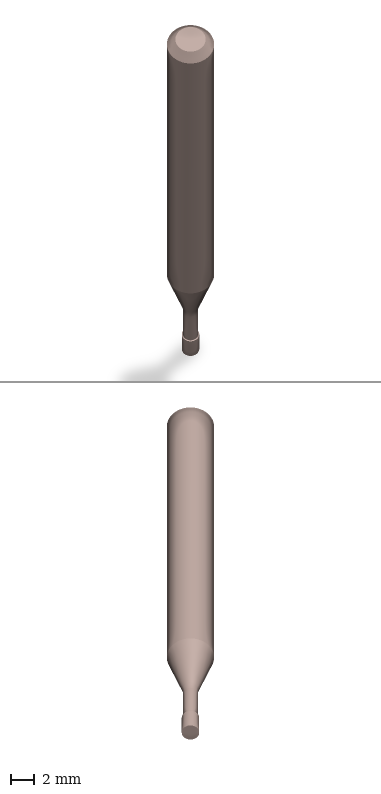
import cadquery as cq
import math

total_length = 45.0
shank_diameter = 4.0
shank_radius = shank_diameter / 2
end_chamfer = 0.7
taper_top_z = 10.85

neck_radius = 0.65
blend_bottom_z = 5.6
blend_radius = 2.7
taper_angle = math.radians(15.5)

tip_diameter = 1.5
tip_radius = tip_diameter / 2
collar_height = 0.22
head_length = 1.9
collar_top_z = head_length + collar_height


def blend_point(angle):
    """Point (radius, z) on the blend arc after turning by angle from the neck."""
    radius = neck_radius + blend_radius * (1 - math.cos(angle))
    z = blend_bottom_z + blend_radius * math.sin(angle)
    return (radius, z)


def make_shank():
    """Chamfered shank, taper, neck and collar revolved about Z."""
    return (
        cq.Workplane("XZ")
        .moveTo(0, head_length)
        .lineTo(tip_radius, head_length)
        .lineTo(tip_radius, collar_top_z)
        .lineTo(neck_radius, collar_top_z)
        .lineTo(neck_radius, blend_bottom_z)
        .threePointArc(blend_point(taper_angle / 2), blend_point(taper_angle))
        .lineTo(shank_radius, taper_top_z)
        .lineTo(shank_radius, total_length - end_chamfer)
        .lineTo(shank_radius - end_chamfer, total_length)
        .lineTo(0, total_length)
        .close()
        .revolve(360, (0, 0), (0, 1))
    )


def make_cutting_head():
    """Plain cylinder butted against the underside of the collar."""
    return cq.Workplane("XY").circle(tip_radius).extrude(head_length)


shank = make_shank()
cutting_head = make_cutting_head()

result = cq.Compound.makeCompound([shank.val(), cutting_head.val()])